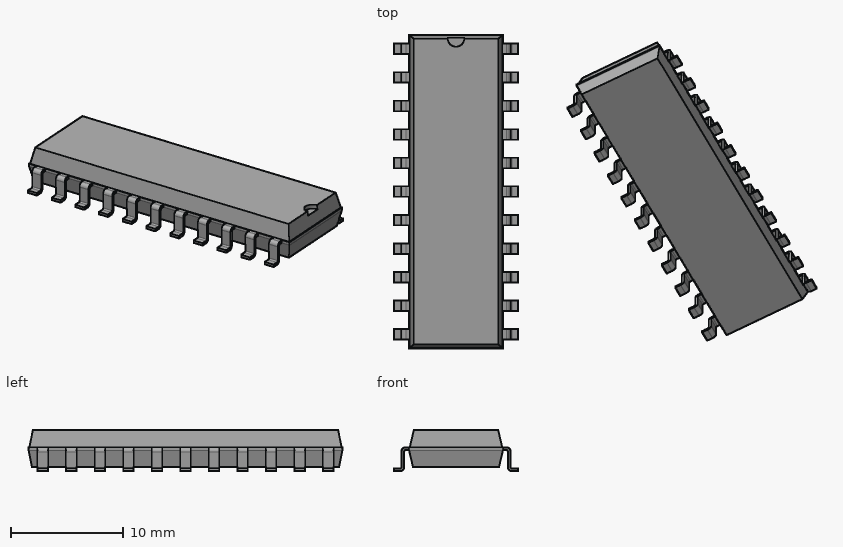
import cadquery as cq
import math

body_width = 8.38
body_length = 27.94
overall_height = 3.68
standoff = 0.36
belt_step = 0.07
upper_draft = (0.36, 0.31)
lower_draft = (0.36, 0.3)

lead_count = 11
lead_pitch = 2.54
lead_width = 0.95
lead_thickness = 0.254
lead_span = 11.06
lead_top = 2.13
foot_length = 0.67
inner_bend = 0.12
outer_bend = inner_bend + lead_thickness
lead_embed = 0.5

belt_top = lead_top
belt_bottom = lead_top - lead_thickness

notch_radius = 0.74
notch_depth = 0.4
notch_inset = 0.34


def body_outline(inset, z):
    """Belt rectangle at height z, drawn in on each side by the X and Y insets."""
    x_inset, y_inset = inset
    return (
        cq.Workplane("XY")
        .workplane(offset=z)
        .rect(body_width - 2 * x_inset, body_length - 2 * y_inset)
        .val()
    )


def frustum(bottom_inset, bottom_z, top_inset, top_z):
    """Four-sided block with flat walls between two body outlines."""
    wires = [body_outline(bottom_inset, bottom_z), body_outline(top_inset, top_z)]
    return cq.Workplane("XY").add(cq.Solid.makeLoft(wires, True))


def make_body():
    flush = (0, 0)
    upper_foot = (belt_step, belt_step)
    upper_rim = (belt_step + upper_draft[0], belt_step + upper_draft[1])
    lower = frustum(lower_draft, standoff, flush, belt_bottom)
    belt = frustum(flush, belt_bottom, flush, belt_top)
    upper = frustum(upper_foot, belt_top, upper_rim, overall_height)
    return lower.union(belt).union(upper)


def make_notch():
    return (
        cq.Workplane("XY")
        .workplane(offset=overall_height - notch_depth)
        .center(0, body_length / 2 - notch_inset)
        .circle(notch_radius)
        .extrude(notch_depth)
    )


def make_lead():
    """One lead on the +X side, centred on y = 0, with its foot on z = 0."""
    toe_x = lead_span / 2
    outer_x = toe_x - foot_length
    inner_x = outer_x - lead_thickness
    root_x = body_width / 2 - lead_embed
    top_bend_x = outer_x - outer_bend
    foot_bend_x = outer_x + inner_bend
    top_bend_z = lead_top - outer_bend
    foot_bend_z = outer_bend
    diagonal = math.sqrt(0.5)
    inner_mid = inner_bend * diagonal
    outer_mid = outer_bend * diagonal
    return (
        cq.Workplane("XZ")
        .moveTo(root_x, lead_top)
        .lineTo(top_bend_x, lead_top)
        .threePointArc((top_bend_x + outer_mid, top_bend_z + outer_mid), (outer_x, top_bend_z))
        .lineTo(outer_x, foot_bend_z)
        .threePointArc((foot_bend_x - inner_mid, foot_bend_z - inner_mid), (foot_bend_x, lead_thickness))
        .lineTo(toe_x, lead_thickness)
        .lineTo(toe_x, 0)
        .lineTo(foot_bend_x, 0)
        .threePointArc((foot_bend_x - outer_mid, foot_bend_z - outer_mid), (inner_x, foot_bend_z))
        .lineTo(inner_x, top_bend_z)
        .threePointArc((top_bend_x + inner_mid, top_bend_z + inner_mid), (top_bend_x, belt_bottom))
        .lineTo(root_x, belt_bottom)
        .close()
        .extrude(lead_width / 2, both=True)
    )


result = make_body().cut(make_notch())

right_lead = make_lead()
left_lead = right_lead.mirror("YZ")
for index in range(lead_count):
    lead_y = (index - (lead_count - 1) / 2) * lead_pitch
    for lead in (right_lead, left_lead):
        result = result.union(lead.translate((0, lead_y, 0)))